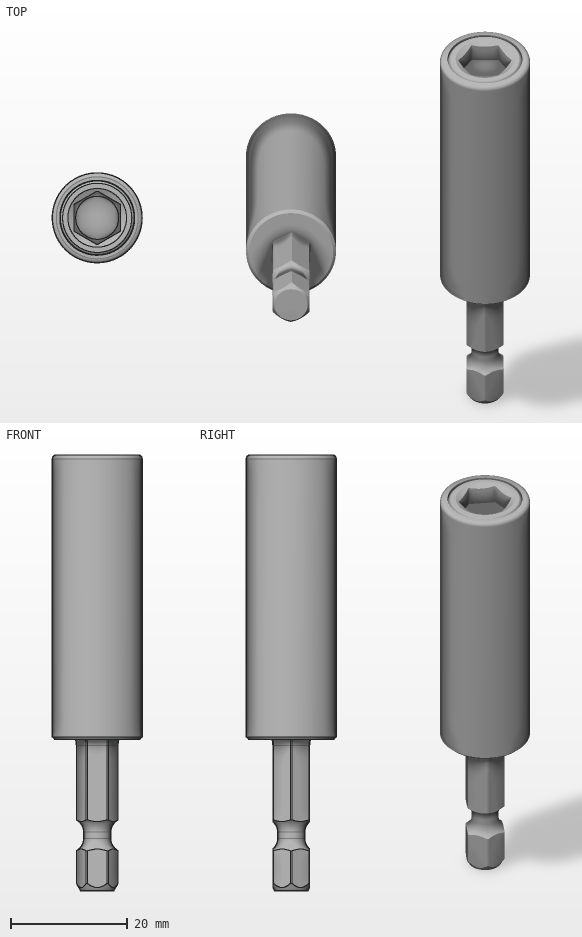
import cadquery as cq
import math

total_length = 75.0

sleeve_diameter = 15.5
sleeve_bottom = 26.0
sleeve_bore_diameter = 12.9
sleeve_top_fillet = 0.7
sleeve_bottom_chamfer = 0.5
sleeve_floor = 2.0

socket_diameter = 12.7
socket_edge_chamfer = 0.4
bit_hex_width = 8.0
bit_hex_corner_fillet = 0.3
bit_hex_depth = 3.6
lead_in_diameter = 10.1
lead_in_angle = 60.0

magnet_diameter = 7.4
magnet_length = 5.0

shank_hex_width = 6.35
shank_corner_diameter = 7.2
shank_insertion = 12.0
tip_diameter = 5.7
tip_chamfer_length = 1.3
groove_diameter = 4.7
groove_center = 9.55
groove_land = 1.1
groove_arc_radius = 2.4
flare_length = 1.0
flare_radius = 4.0

socket_bottom = sleeve_bottom + sleeve_floor
bit_hex_floor = total_length - bit_hex_depth
flare_bottom = sleeve_bottom - flare_length
flare_half_angle = math.asin(flare_length / flare_radius) / 2
shank_top = socket_bottom + shank_insertion


def cylinder(diameter, bottom, top):
    return cq.Workplane("XY").workplane(offset=bottom).circle(diameter / 2).extrude(top - bottom)


def arc_growth(radius, angle):
    """Sideways growth of an arc that leaves a straight line by the given angle."""
    return radius * (1 - math.cos(angle))


def flared_root(outline, half_width):
    """Continue an outline from the start of the root flare to the top of the shank, on the +X side."""
    flare_mid = (
        half_width + arc_growth(flare_radius, flare_half_angle),
        flare_bottom + flare_radius * math.sin(flare_half_angle),
    )
    root_half_width = half_width + arc_growth(flare_radius, 2 * flare_half_angle)
    return (
        outline.lineTo(half_width, flare_bottom)
        .threePointArc(flare_mid, (root_half_width, sleeve_bottom))
        .lineTo(root_half_width, shank_top)
        .lineTo(0, shank_top)
    )


def flared_slab(turn):
    """Slab between two opposite faces of the shank hexagon, both flared out at the root."""
    half_width = shank_hex_width / 2
    outline = cq.Workplane("XZ").moveTo(0, 0).lineTo(half_width, 0)
    slab = flared_root(outline, half_width).mirrorY().extrude(shank_corner_diameter, both=True)
    return slab.rotate((0, 0, 0), (0, 0, 1), turn)


def turned_shank():
    """Solid of revolution that rounds the hexagon corners, bevels the tip and cuts the groove."""
    corner_radius = shank_corner_diameter / 2
    groove_radius = groove_diameter / 2
    arc_angle = math.acos(1 - (corner_radius - groove_radius) / groove_arc_radius)
    arc_length = groove_arc_radius * math.sin(arc_angle)
    mid_length = groove_arc_radius * math.sin(arc_angle / 2)
    mid_radius = groove_radius + arc_growth(groove_arc_radius, arc_angle / 2)
    land_bottom = groove_center - groove_land / 2
    land_top = groove_center + groove_land / 2
    outline = (
        cq.Workplane("XZ")
        .moveTo(0, 0)
        .lineTo(tip_diameter / 2, 0)
        .lineTo(corner_radius, tip_chamfer_length)
        .lineTo(corner_radius, land_bottom - arc_length)
        .threePointArc((mid_radius, land_bottom - mid_length), (groove_radius, land_bottom))
        .lineTo(groove_radius, land_top)
        .threePointArc((mid_radius, land_top + mid_length), (corner_radius, land_top + arc_length))
    )
    return flared_root(outline, corner_radius).close().revolve(360, (0, 0), (0, 1))


def make_shank():
    shank = turned_shank()
    for turn in (30, 90, 150):
        shank = shank.intersect(flared_slab(turn))
    return shank


def make_magnet():
    return cylinder(magnet_diameter, bit_hex_floor - magnet_length, bit_hex_floor)


def make_socket(shank, magnet):
    body = cylinder(socket_diameter, socket_bottom, total_length).faces(">Z").chamfer(socket_edge_chamfer)
    bit_hex_corner_diameter = bit_hex_width / math.cos(math.pi / 6)
    bit_hole = cq.Workplane("XY").workplane(offset=bit_hex_floor).polygon(6, bit_hex_corner_diameter)
    bit_hole = bit_hole.extrude(bit_hex_depth).rotate((0, 0, 0), (0, 0, 1), 30)
    bit_hole = bit_hole.edges("|Z").fillet(bit_hex_corner_fillet)
    lead_in_depth = lead_in_diameter / 2 / math.tan(math.radians(lead_in_angle))
    lead_in_tip = cq.Vector(0, 0, total_length - lead_in_depth)
    lead_in = cq.Solid.makeCone(0, lead_in_diameter / 2, lead_in_depth, pnt=lead_in_tip)
    return body.cut(bit_hole).cut(lead_in).cut(magnet).cut(shank)


def make_sleeve(shank):
    body = cylinder(sleeve_diameter, sleeve_bottom, total_length)
    body = body.faces(">Z").edges().fillet(sleeve_top_fillet)
    body = body.faces("<Z").edges().chamfer(sleeve_bottom_chamfer)
    bore = cylinder(sleeve_bore_diameter, socket_bottom, total_length)
    return body.cut(bore).cut(shank)


shank = make_shank()
magnet = make_magnet()
socket = make_socket(shank, magnet)
sleeve = make_sleeve(shank)

result = cq.Compound.makeCompound([sleeve.val(), socket.val(), magnet.val(), shank.val()])